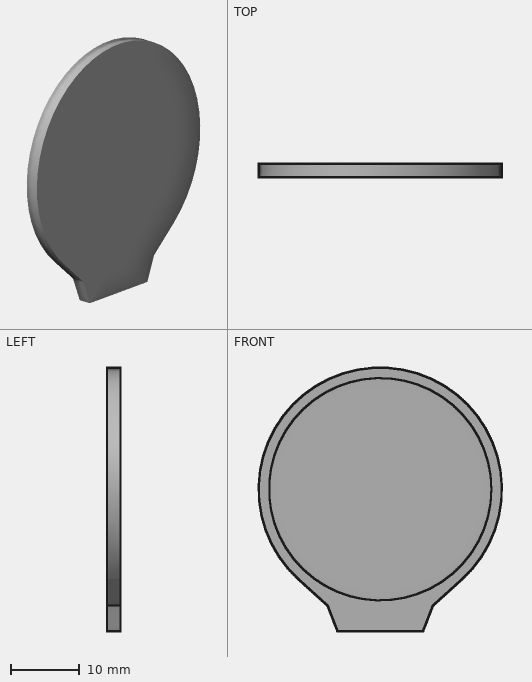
import cadquery as cq
import math

thickness = 2.0
disc_diameter = 35.5
disc_radius = disc_diameter / 2
total_height = 38.45

recess_diameter = 32.4
recess_depth = 0.08

foot_height = 3.73
foot_bottom_width = 12.5
foot_top_width = 15.38

foot_bottom_z = disc_radius - total_height
foot_top_z = foot_bottom_z + foot_height
foot_bottom_x = foot_bottom_width / 2
foot_top_x = foot_top_width / 2

corner_distance = math.hypot(foot_top_x, foot_top_z)
corner_angle = math.atan2(foot_top_z, foot_top_x)
tangent_angle = corner_angle + math.acos(disc_radius / corner_distance)
tangent_x = disc_radius * math.cos(tangent_angle)
tangent_z = disc_radius * math.sin(tangent_angle)


def make_body():
    """Disc and foot as one plate, from the front face towards +Y."""
    return (
        cq.Workplane("XZ", origin=(0, -thickness / 2, 0))
        .moveTo(-foot_bottom_x, foot_bottom_z)
        .lineTo(foot_bottom_x, foot_bottom_z)
        .lineTo(foot_top_x, foot_top_z)
        .lineTo(tangent_x, tangent_z)
        .threePointArc((0, disc_radius), (-tangent_x, tangent_z))
        .lineTo(-foot_top_x, foot_top_z)
        .close()
        .extrude(-thickness)
    )


def make_recess():
    """Cutter for the round recess in the front face."""
    return (
        cq.Workplane("XZ", origin=(0, -thickness / 2, 0))
        .circle(recess_diameter / 2)
        .extrude(-recess_depth)
    )


result = make_body().cut(make_recess())